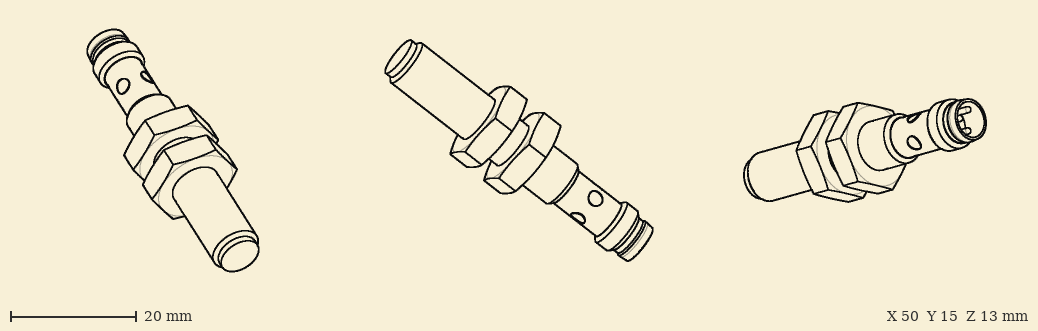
import cadquery as cq
import math

TOTAL_LENGTH = 49.95

BEVEL_LENGTH = 0.75
BEVEL_HEIGHT = 0.65

BARREL_DIAMETER = 8.0
BARREL_START = 15.4
BARREL_END = 48.9
BARREL_END_BEVEL_LENGTH = 0.6
SENSING_TIP_DIAMETER = 6.65

NECK_DIAMETER = 6.5
WINDOW_DIAMETER = 2.5
WINDOW_X = 10.95
WINDOW_COUNT = 4
WINDOW_FIRST_ANGLE = 45.0
WINDOW_DEPTH = 0.15

COLLAR_START = 2.9
COLLAR_END = 6.5
COLLAR_REAR_BEVEL_LENGTH = 0.6

SLEEVE_RIM_DIAMETER = 6.65
SLEEVE_DIAMETER = 6.9
SLEEVE_TAPER_END = 1.25
SLEEVE_LAND_END = 1.65
SLEEVE_END = 2.0
SOCKET_DIAMETER = 5.8
SOCKET_DEPTH = 4.5

PIN_DIAMETER = 1.0
PIN_CIRCLE_RADIUS = 1.75
PIN_TIP_X = 0.2
PIN_ANGLES = (0, 90, 270)

NUT_ACROSS_FLATS = 13.0
NUT_THICKNESS = 4.0
NUT_STARTS = (22.3, 29.3)
NUT_FACE_DIAMETER = NUT_ACROSS_FLATS
NUT_BEVEL_ANGLE = 15.0


def revolve_about_x(profile):
    """Revolve a closed (x, radius) outline about the X axis."""
    return cq.Workplane("XY").polyline(profile).close().revolve(360, (0, 0, 0), (1, 0, 0))


def make_outer_shape():
    barrel_r = BARREL_DIAMETER / 2
    neck_r = NECK_DIAMETER / 2
    sleeve_r = SLEEVE_DIAMETER / 2
    tip_r = SENSING_TIP_DIAMETER / 2
    return revolve_about_x([
        (0, 0),
        (0, SLEEVE_RIM_DIAMETER / 2),
        (SLEEVE_TAPER_END, sleeve_r),
        (SLEEVE_LAND_END, sleeve_r),
        (SLEEVE_END, neck_r),
        (COLLAR_START, neck_r),
        (COLLAR_START, barrel_r - BEVEL_HEIGHT),
        (COLLAR_START + BEVEL_LENGTH, barrel_r),
        (COLLAR_END - COLLAR_REAR_BEVEL_LENGTH, barrel_r),
        (COLLAR_END, barrel_r - BEVEL_HEIGHT),
        (COLLAR_END, neck_r),
        (BARREL_START, neck_r),
        (BARREL_START, barrel_r - BEVEL_HEIGHT),
        (BARREL_START + BEVEL_LENGTH, barrel_r),
        (BARREL_END - BARREL_END_BEVEL_LENGTH, barrel_r),
        (BARREL_END, tip_r),
        (TOTAL_LENGTH, tip_r),
        (TOTAL_LENGTH, 0),
    ])


def make_socket():
    """Cutter for the round connector cavity."""
    return cq.Workplane("YZ").circle(SOCKET_DIAMETER / 2).extrude(SOCKET_DEPTH)


def make_pin(angle):
    """Contact pin standing on the socket floor, with a hemispherical tip."""
    y = PIN_CIRCLE_RADIUS * math.cos(math.radians(angle))
    z = PIN_CIRCLE_RADIUS * math.sin(math.radians(angle))
    radius = PIN_DIAMETER / 2
    shoulder_x = PIN_TIP_X + radius
    arc_offset = radius * math.sqrt(0.5)
    return (
        cq.Workplane("XY")
        .moveTo(PIN_TIP_X, 0)
        .threePointArc((shoulder_x - arc_offset, arc_offset), (shoulder_x, radius))
        .lineTo(SOCKET_DEPTH, radius)
        .lineTo(SOCKET_DEPTH, 0)
        .close()
        .revolve(360, (0, 0, 0), (1, 0, 0))
        .translate((0, y, z))
    )


def make_window(angle):
    """Cutter for a shallow round window whose floor is concentric with the neck."""
    floor = (
        cq.Workplane("YZ", origin=(WINDOW_X - WINDOW_DIAMETER, 0, 0))
        .circle(NECK_DIAMETER / 2 - WINDOW_DEPTH)
        .extrude(2 * WINDOW_DIAMETER)
    )
    return (
        cq.Workplane("XY", origin=(WINDOW_X, 0, 0))
        .circle(WINDOW_DIAMETER / 2)
        .extrude(NECK_DIAMETER / 2)
        .rotate((0, 0, 0), (1, 0, 0), angle)
        .cut(floor)
    )


def make_sensor():
    sensor = make_outer_shape().cut(make_socket())
    for angle in PIN_ANGLES:
        sensor = sensor.union(make_pin(angle))
    for i in range(WINDOW_COUNT):
        sensor = sensor.cut(make_window(WINDOW_FIRST_ANGLE + i * 360 / WINDOW_COUNT))
    return sensor


def make_nut(start_x):
    """Hexagonal nut with corners along Y and both faces bevelled at the corners."""
    across_corners = NUT_ACROSS_FLATS / math.cos(math.radians(30))
    face_r = NUT_FACE_DIAMETER / 2
    corner_r = across_corners / 2
    bevel = (corner_r - face_r) * math.tan(math.radians(NUT_BEVEL_ANGLE))
    hexagon = cq.Workplane("YZ").polygon(6, across_corners).extrude(NUT_THICKNESS)
    bevel_envelope = revolve_about_x([
        (0, 0),
        (0, face_r),
        (bevel, corner_r),
        (NUT_THICKNESS - bevel, corner_r),
        (NUT_THICKNESS, face_r),
        (NUT_THICKNESS, 0),
    ])
    bore = cq.Workplane("YZ").circle(BARREL_DIAMETER / 2).extrude(NUT_THICKNESS)
    return hexagon.intersect(bevel_envelope).cut(bore).translate((start_x, 0, 0))


sensor = make_sensor()
nuts = [make_nut(start_x) for start_x in NUT_STARTS]
result = cq.Compound.makeCompound([sensor.val(), *[nut.val() for nut in nuts]])